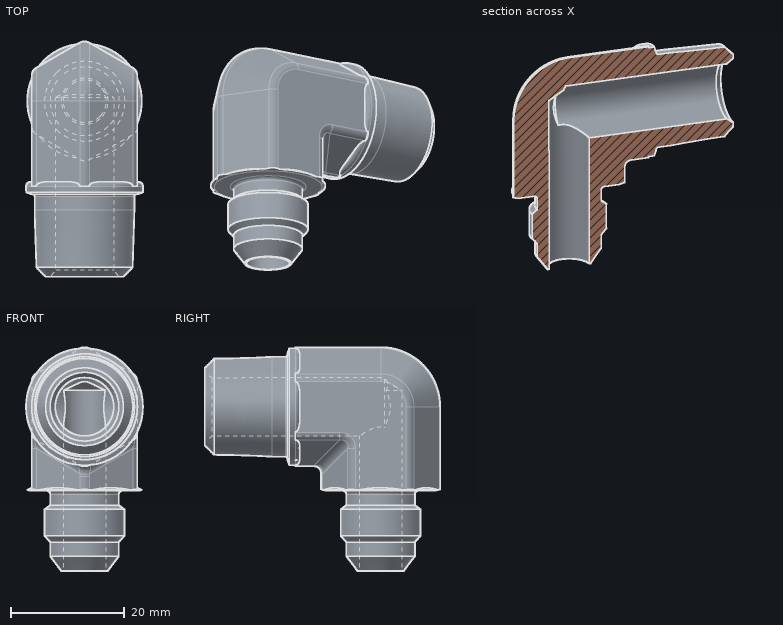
import cadquery as cq
import math


ACROSS_FLATS = 18.65
EDGE_FILLET = 1.6
VALLEY_FILLET = 1.7
HALF_FLATS = ACROSS_FLATS / 2
CORNER_RADIUS = ACROSS_FLATS / math.sqrt(3)
SIDE_CORNER = CORNER_RADIUS / 2

FLANGE_RADIUS = 20.65 / 2
FLANGE_BACK = 15.05
FLANGE_FRONT = 16.1
FLANGE_BACK_ROUND = 0.8
FLANGE_FACE_RADIUS = 9.35
FLANGE_FACE = 16.45
THREAD_RADIUS = 17.65 / 2
THREAD_START = 16.8
TAPER_START = 19.2
THREAD_END = 31.0
THREAD_CHAMFER = 1.65
TAPER_PER_LENGTH = 1 / 32

COLLAR_RADIUS = 10.13
COLLAR_TOP = 14.27
COLLAR_RIM = 14.67
COLLAR_FACE_RADIUS = 9.5
COLLAR_FACE = 14.83
NECK_RADIUS = 12.14 / 2
NECK_FILLET = 0.6
BAND_RADIUS = 14.14 / 2
BAND_RAMP_START = 17.35
BAND_START = 18.1
BAND_END = 22.75
BAND_RAMP_END = 23.85
FLARE_START = 26.35
FLARE_END = 28.97
FLARE_ANGLE = 37

DRILL_HALF_ANGLE = 60
STUD_BORE_RADIUS = 10.31 / 2
STUD_BORE_SHOULDER = 0.65
COUNTERSINK_RADIUS = 12.12 / 2
COUNTERSINK_DEPTH = 1.25
FLARE_BORE_RADIUS = 7.54 / 2
FLARE_BORE_SHOULDER = 2.88

TOLERANCE = 1e-3


def rotate_to_flare_axis(shape):
    """Turn a shape lying along -Y so that it lies along -Z."""
    return shape.rotate((0, 0, 0), (1, 0, 0), 90)


def spin(profile, along_flare_axis):
    """Revolve a closed (radius, distance along the arm) profile about its arm's axis."""
    solid = profile.close().revolve(360, (0, 0, 0), (0, 1, 0))
    if along_flare_axis:
        return rotate_to_flare_axis(solid)
    return solid


def start_profile(radius, distance):
    return cq.Workplane("XY").moveTo(radius, -distance)


def hex_arm(length):
    """Hexagonal bar along -Y with its corners pointing up and down."""
    corners = [
        (0, CORNER_RADIUS),
        (HALF_FLATS, SIDE_CORNER),
        (HALF_FLATS, -SIDE_CORNER),
        (0, -CORNER_RADIUS),
        (-HALF_FLATS, -SIDE_CORNER),
        (-HALF_FLATS, SIDE_CORNER),
    ]
    return cq.Workplane("XZ").polyline(corners).close().extrude(length)


def outer_bend():
    """Quarter turn of half the hexagon about the X axis, joining the two arms."""
    half_hexagon = [
        (-HALF_FLATS, 0),
        (-HALF_FLATS, SIDE_CORNER),
        (0, CORNER_RADIUS),
        (HALF_FLATS, SIDE_CORNER),
        (HALF_FLATS, 0),
    ]
    return cq.Workplane("XZ").polyline(half_hexagon).close().revolve(90, (0, 0, 0), (-1, 0, 0))


def is_valley(edge):
    """True for the edges on the mitre plane Y = Z where the two arms meet."""
    middle = edge.positionAt(0.5)
    return abs(middle.y - middle.z) < TOLERANCE and middle.y < -SIDE_CORNER


def is_long_edge(edge):
    """True for the six hexagon edges that run along both arms and around the bend."""
    start, middle, end = (edge.positionAt(fraction) for fraction in (0, 0.5, 1))
    keeps_its_x = abs(start.x - middle.x) < TOLERANCE and abs(end.x - middle.x) < TOLERANCE
    on_stud_end = max(start.y, end.y) < -FLANGE_BACK + TOLERANCE
    on_flare_end = max(start.z, end.z) < -COLLAR_FACE + TOLERANCE
    return keeps_its_x and not on_stud_end and not on_flare_end


def elbow_body():
    """Two mitred hexagonal arms with a rounded valley inside and rounded long edges."""
    body = hex_arm(FLANGE_BACK)
    body = body.union(rotate_to_flare_axis(hex_arm(COLLAR_FACE)))
    body = body.union(outer_bend()).clean()
    valleys = [edge for edge in body.edges().vals() if is_valley(edge)]
    body = body.newObject(valleys).fillet(VALLEY_FILLET)
    long_edges = [edge for edge in body.edges().vals() if is_long_edge(edge)]
    return body.newObject(long_edges).fillet(EDGE_FILLET)


def thread_stud():
    """Round flange, then a short cylinder, a 1:16 tapered thread body and an end chamfer."""
    chamfer_start = THREAD_END - THREAD_CHAMFER
    small_radius = THREAD_RADIUS - (chamfer_start - TAPER_START) * TAPER_PER_LENGTH
    round_centre_radius = FLANGE_RADIUS - FLANGE_BACK_ROUND
    round_diagonal = FLANGE_BACK_ROUND * math.sqrt(0.5)
    fillet = THREAD_START - FLANGE_FACE
    fillet_diagonal = fillet * (1 - math.sqrt(0.5))
    profile = (
        start_profile(0, 0)
        .lineTo(0, -THREAD_END)
        .lineTo(small_radius - THREAD_CHAMFER, -THREAD_END)
        .lineTo(small_radius, -chamfer_start)
        .lineTo(THREAD_RADIUS, -TAPER_START)
        .lineTo(THREAD_RADIUS, -THREAD_START)
        .threePointArc(
            (THREAD_RADIUS + fillet_diagonal, -FLANGE_FACE - fillet_diagonal),
            (THREAD_RADIUS + fillet, -FLANGE_FACE),
        )
        .lineTo(FLANGE_FACE_RADIUS, -FLANGE_FACE)
        .lineTo(FLANGE_RADIUS, -FLANGE_FRONT)
        .lineTo(FLANGE_RADIUS, -FLANGE_BACK)
        .threePointArc(
            (round_centre_radius + round_diagonal, -FLANGE_BACK + round_diagonal),
            (round_centre_radius, -FLANGE_BACK + FLANGE_BACK_ROUND),
        )
        .lineTo(NECK_RADIUS, -FLANGE_BACK + FLANGE_BACK_ROUND)
        .lineTo(NECK_RADIUS, 0)
    )
    return spin(profile, along_flare_axis=False)


def flare_stud():
    """Thin collar, filleted neck, raised thread band and a 37-degree flare cone."""
    tip_radius = NECK_RADIUS - (FLARE_END - FLARE_START) * math.tan(math.radians(FLARE_ANGLE))
    fillet_diagonal = NECK_FILLET * (1 - math.sqrt(0.5))
    profile = (
        start_profile(0, 0)
        .lineTo(0, -FLARE_END)
        .lineTo(tip_radius, -FLARE_END)
        .lineTo(NECK_RADIUS, -FLARE_START)
        .lineTo(NECK_RADIUS, -BAND_RAMP_END)
        .lineTo(BAND_RADIUS, -BAND_END)
        .lineTo(BAND_RADIUS, -BAND_START)
        .lineTo(NECK_RADIUS, -BAND_RAMP_START)
        .lineTo(NECK_RADIUS, -COLLAR_FACE - NECK_FILLET)
        .threePointArc(
            (NECK_RADIUS + fillet_diagonal, -COLLAR_FACE - fillet_diagonal),
            (NECK_RADIUS + NECK_FILLET, -COLLAR_FACE),
        )
        .lineTo(COLLAR_FACE_RADIUS, -COLLAR_FACE)
        .lineTo(COLLAR_RADIUS, -COLLAR_RIM)
        .lineTo(HALF_FLATS, -COLLAR_TOP)
        .lineTo(NECK_RADIUS, -COLLAR_TOP)
        .lineTo(NECK_RADIUS, 0)
    )
    return spin(profile, along_flare_axis=True)


def hex_end_relief():
    """Conical ring that trims the hexagon corners at the flare end, level with the collar edge."""
    slope = (COLLAR_FACE - COLLAR_RIM) / (COLLAR_RADIUS - COLLAR_FACE_RADIUS)
    reach = CORNER_RADIUS - COLLAR_FACE_RADIUS
    profile = (
        start_profile(COLLAR_FACE_RADIUS, COLLAR_FACE)
        .lineTo(CORNER_RADIUS, -COLLAR_FACE)
        .lineTo(CORNER_RADIUS, -COLLAR_FACE + slope * reach)
    )
    return spin(profile, along_flare_axis=True)


def drill_tip(radius):
    """Length of the conical end of a drilled bore."""
    return radius / math.tan(math.radians(DRILL_HALF_ANGLE))


def stud_bore():
    """Blind bore of the thread stud with a countersunk mouth."""
    profile = (
        start_profile(0, THREAD_END)
        .lineTo(COUNTERSINK_RADIUS, -THREAD_END)
        .lineTo(STUD_BORE_RADIUS, -THREAD_END + COUNTERSINK_DEPTH)
        .lineTo(STUD_BORE_RADIUS, STUD_BORE_SHOULDER)
        .lineTo(0, STUD_BORE_SHOULDER + drill_tip(STUD_BORE_RADIUS))
    )
    return spin(profile, along_flare_axis=False)


def flare_bore():
    """Blind bore of the flare stud, meeting the other bore inside the bend."""
    profile = (
        start_profile(0, FLARE_END)
        .lineTo(FLARE_BORE_RADIUS, -FLARE_END)
        .lineTo(FLARE_BORE_RADIUS, FLARE_BORE_SHOULDER)
        .lineTo(0, FLARE_BORE_SHOULDER + drill_tip(FLARE_BORE_RADIUS))
    )
    return spin(profile, along_flare_axis=True)


body = elbow_body().cut(hex_end_relief())
fitting = body.union(thread_stud()).union(flare_stud())
result = fitting.cut(stud_bore()).cut(flare_bore())